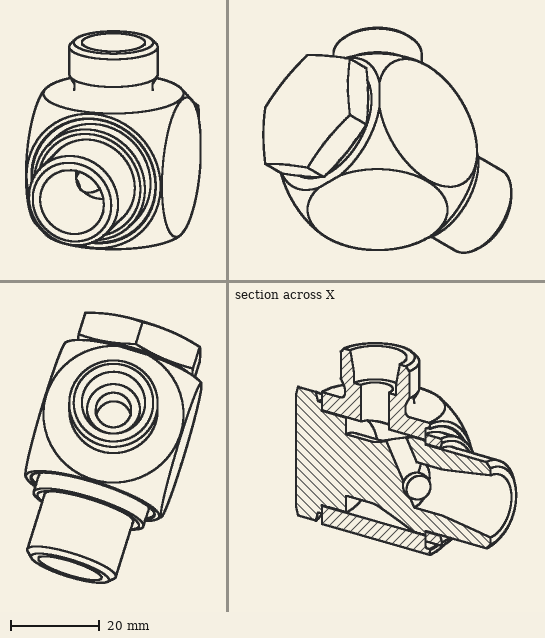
import cadquery as cq
import math


HOUSING_WIDTH = 32.0
HOUSING_FRONT = -16.05
HOUSING_BACK = 15.4
SPHERE_RADIUS = 22.5
BOLT_BORE_DIAMETER = 23.0

RECESS_DIAMETER = 29.0
RECESS_DEPTH = 1.35
RECESS_FLOOR_FILLET = 0.45
RECESS_EDGE_CHAMFER = 0.15

STUB_TOP = 28.0
STUB_DIAMETER = 20.0
STUB_RIM_CHAMFER = 1.0
STUB_THREAD_LENGTH = 7.5
NECK_DIAMETER = 17.7
NECK_FILLET = 1.15
NECK_CONE_ANGLE = 30
INLET_MOUTH_DIAMETER = 14.3
INLET_SEAT_DIAMETER = 12.0
INLET_CONE_HALF_ANGLE = 12
INLET_SEAT_DEPTH = 7.6
INLET_BORE_DIAMETER = 8.0

HEX_ACROSS_FLATS = 27.0
HEX_END = 23.0
HEX_CORNER_DROP = 0.6
WASHER_FACE_HEIGHT = 1.1
SHANK_DIAMETER = 22.95
SHANK_LENGTH = 7.05
WAIST_DIAMETER = 15.0
WAIST_END = 1.3
WAIST_FILLET = 8.0
FLARE_ANGLE = 20
LAND_END = HOUSING_FRONT + RECESS_DEPTH
THREAD_DIAMETER = 20.95
THREAD_CHAMFER = 1.25
BOLT_LENGTH = 56.5
BOLT_TIP = HEX_END - BOLT_LENGTH
BOLT_MOUTH_DIAMETER = 15.0
BOLT_BORE_INNER_DIAMETER = 11.0
MOUTH_TAPER_HALF_ANGLE = 8
BOLT_BORE_END = -11.4
DRILL_TIP_HALF_ANGLE = 59
CROSS_HOLE_DIAMETER = 6.0
CROSS_HOLE_COUNT = 3
CROSS_HOLE_LEAN = 30
CROSS_HOLE_Y = -11.75
CROSS_HOLE_LENGTH = 16.95

RING_OUTER_DIAMETER = 26.0
RING_INNER_DIAMETER = 21.1
RING_CREST_DIAMETER = 24.0
RING_PROJECTION = 3.15
RING_OUTER_SLOPE = 15
RING_INNER_SLOPE = 20


def tan(degrees):
    return math.tan(math.radians(degrees))


def sin(degrees):
    return math.sin(math.radians(degrees))


def cos(degrees):
    return math.cos(math.radians(degrees))


def revolve_profile(profile):
    """Turn a closed profile around the second axis of its own plane."""
    return profile.close().revolve(360, (0, 0, 0), (0, 1, 0))


def make_block():
    """Box whose corners and edges are rounded off by a sphere."""
    length = HOUSING_BACK - HOUSING_FRONT
    middle = (HOUSING_BACK + HOUSING_FRONT) / 2
    box = cq.Workplane("XY").box(HOUSING_WIDTH, length, HOUSING_WIDTH).translate((0, middle, 0))
    return box.intersect(cq.Workplane("XY").sphere(SPHERE_RADIUS))


def make_stub():
    """Threaded inlet stub with its undercut neck, starting inside the block."""
    outer = STUB_DIAMETER / 2
    neck = NECK_DIAMETER / 2
    block_top = HOUSING_WIDTH / 2
    root = SHANK_DIAMETER / 2 + 0.55
    thread_end = STUB_TOP - STUB_THREAD_LENGTH
    cone_foot = neck + NECK_FILLET * (1 - cos(NECK_CONE_ANGLE))
    cone_foot_z = thread_end - (outer - cone_foot) / tan(NECK_CONE_ANGLE)
    neck_top = cone_foot_z - NECK_FILLET * sin(NECK_CONE_ANGLE)
    half = NECK_CONE_ANGLE / 2
    upper_arc_middle = (neck + NECK_FILLET * (1 - cos(half)), neck_top + NECK_FILLET * sin(half))
    foot = neck + NECK_FILLET
    lower_arc_middle = (foot - NECK_FILLET * cos(45), block_top + NECK_FILLET * (1 - sin(45)))
    profile = (
        cq.Workplane("XZ")
        .moveTo(0, root)
        .lineTo(foot, root)
        .lineTo(foot, block_top)
        .threePointArc(lower_arc_middle, (neck, block_top + NECK_FILLET))
        .lineTo(neck, neck_top)
        .threePointArc(upper_arc_middle, (cone_foot, cone_foot_z))
        .lineTo(outer, thread_end)
        .lineTo(outer, STUB_TOP - STUB_RIM_CHAMFER)
        .lineTo(outer - STUB_RIM_CHAMFER, STUB_TOP)
        .lineTo(0, STUB_TOP)
    )
    return revolve_profile(profile)


def make_inlet_passage():
    """Conical mouth, seat and bore leading down to the bolt."""
    mouth = INLET_MOUTH_DIAMETER / 2
    seat = INLET_SEAT_DIAMETER / 2
    bore = INLET_BORE_DIAMETER / 2
    cone_bottom = STUB_TOP - (mouth - seat) / tan(INLET_CONE_HALF_ANGLE)
    seat_z = STUB_TOP - INLET_SEAT_DEPTH
    profile = cq.Workplane("XZ").polyline([
        (0, 0),
        (bore, 0),
        (bore, seat_z),
        (seat, seat_z),
        (seat, cone_bottom),
        (mouth, STUB_TOP),
        (0, STUB_TOP),
    ])
    return revolve_profile(profile)


def make_bolt_passage():
    """Bore for the bolt and the front recess for the sealing ring."""
    bore = BOLT_BORE_DIAMETER / 2
    wall = RECESS_DIAMETER / 2
    floor_y = HOUSING_FRONT + RECESS_DEPTH
    fillet = RECESS_FLOOR_FILLET
    fillet_middle = (wall - fillet * (1 - cos(45)), floor_y - fillet * (1 - sin(45)))
    profile = (
        cq.Workplane("XY")
        .moveTo(0, HOUSING_FRONT)
        .lineTo(wall + RECESS_EDGE_CHAMFER, HOUSING_FRONT)
        .lineTo(wall, HOUSING_FRONT + RECESS_EDGE_CHAMFER)
        .lineTo(wall, floor_y - fillet)
        .threePointArc(fillet_middle, (wall - fillet, floor_y))
        .lineTo(bore, floor_y)
        .lineTo(bore, HOUSING_BACK)
        .lineTo(0, HOUSING_BACK)
    )
    return revolve_profile(profile)


def make_housing():
    return make_block().union(make_stub()).cut(make_inlet_passage()).cut(make_bolt_passage())


def make_hex_head():
    """Hexagonal head with two corners on the Z side, turned off conically at both ends."""
    head_start = HOUSING_BACK + WASHER_FACE_HEIGHT
    flat = HEX_ACROSS_FLATS / 2
    corner = flat / cos(30)
    hexagon = (
        cq.Workplane("XZ", origin=(0, HEX_END, 0))
        .transformed(rotate=(0, 0, 90))
        .polygon(6, 2 * corner)
        .extrude(HEX_END - head_start)
    )
    envelope = cq.Workplane("XY").polyline([
        (0, head_start),
        (flat, head_start),
        (corner, head_start + HEX_CORNER_DROP),
        (corner, HEX_END - HEX_CORNER_DROP),
        (flat, HEX_END),
        (0, HEX_END),
    ])
    return hexagon.intersect(revolve_profile(envelope))


def make_bolt_shaft():
    """Washer face, guiding shank, waist that flares out to a front land, and thread."""
    washer = HEX_ACROSS_FLATS / 2
    shank = SHANK_DIAMETER / 2
    waist = WAIST_DIAMETER / 2
    thread = THREAD_DIAMETER / 2
    head_start = HOUSING_BACK + WASHER_FACE_HEIGHT
    shank_end = HOUSING_BACK - SHANK_LENGTH
    half = FLARE_ANGLE / 2
    arc_middle = (waist + WAIST_FILLET * (1 - cos(half)), WAIST_END - WAIST_FILLET * sin(half))
    flare = waist + WAIST_FILLET * (1 - cos(FLARE_ANGLE))
    flare_y = WAIST_END - WAIST_FILLET * sin(FLARE_ANGLE)
    land_start = flare_y - (shank - flare) / tan(FLARE_ANGLE)
    profile = (
        cq.Workplane("XY")
        .moveTo(0, head_start)
        .lineTo(washer, head_start)
        .lineTo(washer, HOUSING_BACK)
        .lineTo(shank, HOUSING_BACK)
        .lineTo(shank, shank_end)
        .lineTo(waist, shank_end)
        .lineTo(waist, WAIST_END)
        .threePointArc(arc_middle, (flare, flare_y))
        .lineTo(shank, land_start)
        .lineTo(shank, LAND_END)
        .lineTo(thread, LAND_END)
        .lineTo(thread, BOLT_TIP + THREAD_CHAMFER)
        .lineTo(thread - THREAD_CHAMFER, BOLT_TIP)
        .lineTo(0, BOLT_TIP)
    )
    return revolve_profile(profile)


def make_bolt_bore():
    """Blind bore with a tapered mouth and a conical drill tip."""
    mouth = BOLT_MOUTH_DIAMETER / 2
    inner = BOLT_BORE_INNER_DIAMETER / 2
    taper_end = BOLT_TIP + (mouth - inner) / tan(MOUTH_TAPER_HALF_ANGLE)
    apex = BOLT_BORE_END + inner / tan(DRILL_TIP_HALF_ANGLE)
    profile = cq.Workplane("XY").polyline([
        (0, BOLT_TIP),
        (mouth, BOLT_TIP),
        (inner, taper_end),
        (inner, BOLT_BORE_END),
        (0, apex),
    ])
    return revolve_profile(profile)


def make_bolt():
    """Bolt with cross holes that lean back towards the inlet as they run outwards."""
    bolt = make_hex_head().union(make_bolt_shaft()).cut(make_bolt_bore())
    cross_hole = (
        cq.Workplane("XY", origin=(0, CROSS_HOLE_Y, 0))
        .circle(CROSS_HOLE_DIAMETER / 2)
        .extrude(CROSS_HOLE_LENGTH)
        .rotate((0, CROSS_HOLE_Y, 0), (1, CROSS_HOLE_Y, 0), -CROSS_HOLE_LEAN)
    )
    for index in range(CROSS_HOLE_COUNT):
        angle = index * 360 / CROSS_HOLE_COUNT
        bolt = bolt.cut(cross_hole.rotate((0, 0, 0), (0, 1, 0), angle))
    return bolt


def make_sealing_ring():
    """Ring seated on the recess floor, with a sealing crest on its front face."""
    outer = RING_OUTER_DIAMETER / 2
    inner = RING_INNER_DIAMETER / 2
    crest = RING_CREST_DIAMETER / 2
    seat_y = HOUSING_FRONT + RECESS_DEPTH
    rim_y = HOUSING_FRONT - RING_PROJECTION
    crest_y = rim_y - (outer - crest) * tan(RING_OUTER_SLOPE)
    inner_y = crest_y + (crest - inner) * tan(RING_INNER_SLOPE)
    profile = cq.Workplane("XY").polyline([
        (inner, seat_y),
        (outer, seat_y),
        (outer, rim_y),
        (crest, crest_y),
        (inner, inner_y),
    ])
    return revolve_profile(profile)


housing = make_housing()
bolt = make_bolt()
sealing_ring = make_sealing_ring()

result = cq.Compound.makeCompound([housing.val(), bolt.val(), sealing_ring.val()])